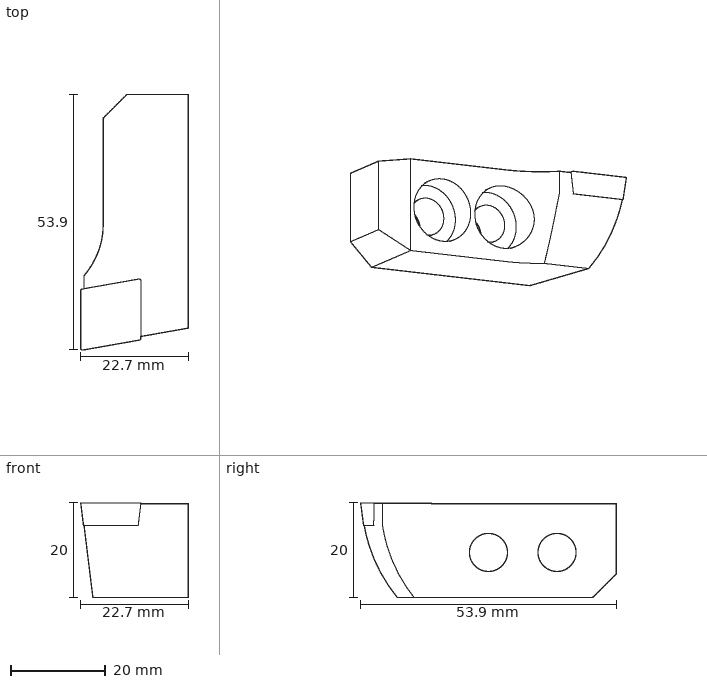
import cadquery as cq
import math


total_length = 53.9
total_width = 22.7
total_height = 20.0

lead_angle = 10.0
relief_angle = 7.0
lead_slope = math.tan(math.radians(lead_angle))
lead_cos = math.cos(math.radians(lead_angle))
relief_slope = math.tan(math.radians(relief_angle))

insert_width = 12.7
insert_thickness = 4.75
insert_corner_radius = 0.4
insert_seat_corner_radius = 0.05
insert_side = insert_width / lead_cos
insert_relief = insert_thickness * relief_slope
seat_height = total_height - insert_thickness
tip_rounding_loss = insert_corner_radius * (1 / lead_cos + lead_slope - 1)
insert_tip_y = -total_length - tip_rounding_loss

holder_height = 19.85
shank_width = 17.95
shank_side_x = total_width - shank_width
rear_chamfer = 5.0
neck_start_y = -27.5
neck_radius = 16.2
neck_angle = math.radians(38.0)
nose_side_x = 0.7
front_y = -53.15
front_arc_radius = 32.35
front_arc_setback = 6.7

screw_hole_diameter = 8.0
counterbore_diameter = 13.5
counterbore_depth = 7.0
screw_ys = (-12.5, -26.95)
screw_z = 9.55


def insert_outline(inset, corner_radius):
    """Rhombus moved inward by `inset` on all sides, with rounded corners."""
    left_x = inset
    right_x = insert_width - inset
    edge_inset = inset / lead_cos
    front_y_at_zero = insert_tip_y + edge_inset
    rear_y_at_zero = insert_tip_y + insert_side - edge_inset
    return (
        cq.Sketch()
        .polygon([
            (left_x, front_y_at_zero + left_x * lead_slope),
            (right_x, front_y_at_zero + right_x * lead_slope),
            (right_x, rear_y_at_zero + right_x * lead_slope),
            (left_x, rear_y_at_zero + left_x * lead_slope),
            (left_x, front_y_at_zero + left_x * lead_slope),
        ])
        .vertices()
        .fillet(corner_radius)
    )


def make_insert():
    seat_outline = insert_outline(insert_relief, insert_seat_corner_radius)
    top_outline = insert_outline(0, insert_corner_radius)
    return (
        cq.Workplane("XY")
        .placeSketch(
            seat_outline.moved(cq.Location(cq.Vector(0, 0, seat_height))),
            top_outline.moved(cq.Location(cq.Vector(0, 0, total_height))),
        )
        .loft(ruled=True)
    )


def holder_blank():
    """Plan outline with the rear corner chamfer, the concave neck and the slanted front."""
    neck_end_x = shank_side_x - neck_radius * (1 - math.cos(neck_angle))
    neck_end_y = neck_start_y - neck_radius * math.sin(neck_angle)
    neck_mid_x = shank_side_x - neck_radius * (1 - math.cos(neck_angle / 2))
    neck_mid_y = neck_start_y - neck_radius * math.sin(neck_angle / 2)
    nose_start_y = neck_end_y - (neck_end_x - nose_side_x) / math.tan(neck_angle)
    return (
        cq.Workplane("XY")
        .moveTo(total_width, 0)
        .lineTo(shank_side_x + rear_chamfer, 0)
        .lineTo(shank_side_x, -rear_chamfer)
        .lineTo(shank_side_x, neck_start_y)
        .threePointArc((neck_mid_x, neck_mid_y), (neck_end_x, neck_end_y))
        .lineTo(nose_side_x, nose_start_y)
        .lineTo(nose_side_x, front_y)
        .lineTo(total_width, front_y + (total_width - nose_side_x) * lead_slope)
        .close()
        .extrude(holder_height)
    )


def rear_bottom_chamfer():
    return (
        cq.Workplane("YZ")
        .polyline([(0, 0), (-rear_chamfer, 0), (0, rear_chamfer)])
        .close()
        .extrude(total_width)
    )


def side_relief():
    """Wedge that leans the nose side inward below the insert seat."""
    return (
        cq.Workplane("XZ")
        .polyline([
            (nose_side_x, seat_height),
            (nose_side_x, 0),
            (nose_side_x + seat_height * relief_slope, 0),
        ])
        .close()
        .extrude(total_length)
    )


def front_relief():
    """Waste below the curved front, swept parallel to the slanted front edge."""
    setback = front_arc_setback * lead_cos
    section_plane = cq.Plane(
        origin=(nose_side_x, front_y, 0),
        xDir=(-lead_slope, 1, 0),
        normal=(1, lead_slope, 0),
    )
    return (
        cq.Workplane(section_plane)
        .moveTo(0, seat_height)
        .radiusArc((setback, 0), -front_arc_radius)
        .lineTo(-setback, 0)
        .lineTo(-setback, seat_height)
        .close()
        .extrude(total_length, both=True)
    )


def screw_hole(y):
    plane = cq.Plane(origin=(0, y, screw_z), xDir=(0, 1, 0), normal=(1, 0, 0))
    hole = cq.Workplane(plane).circle(screw_hole_diameter / 2).extrude(total_width)
    counterbore = (
        cq.Workplane(plane)
        .circle(counterbore_diameter / 2)
        .extrude(shank_side_x + counterbore_depth)
    )
    return hole.union(counterbore)


def make_holder(seated_insert):
    body = holder_blank().cut(rear_bottom_chamfer()).cut(side_relief()).cut(front_relief())
    for y in screw_ys:
        body = body.cut(screw_hole(y))
    return body.cut(seated_insert)


insert = make_insert()
holder = make_holder(insert)

result = cq.Compound.makeCompound([holder.val(), insert.val()])